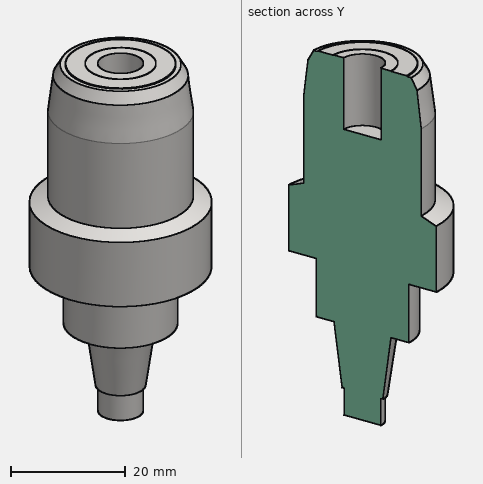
import cadquery as cq

collar_diameter = 31.9
barrel_diameter = 25.45
nose_diameter = 23.6
rim_diameter = 21.1
shank_diameter = 20.05
insert_diameter = 19.35
sleeve_diameter = 12.4
taper_end_diameter = 8.9
pin_diameter = 8.0
bore_diameter = pin_diameter

total_height = 67.7
taper_bottom = 5.1
shank_bottom = 17.1
collar_bottom = 28.15
collar_edge = 40.7
collar_top = 41.85
barrel_top = 58.4
nose_top = 65.4

insert_step = 0.15
sleeve_step = 0.1
insert_chamfer = 0.1
bore_depth = 13.55

sleeve_top = total_height
insert_top = sleeve_top - sleeve_step
rim_top = insert_top - insert_step


def stepped_body():
    """Turned body: pin, taper, shank, collar, barrel and stepped end face."""
    profile = [
        (0, 0),
        (pin_diameter / 2, 0),
        (pin_diameter / 2, taper_bottom),
        (taper_end_diameter / 2, taper_bottom),
        (sleeve_diameter / 2, shank_bottom),
        (shank_diameter / 2, shank_bottom),
        (shank_diameter / 2, collar_bottom),
        (collar_diameter / 2, collar_bottom),
        (collar_diameter / 2, collar_edge),
        (barrel_diameter / 2, collar_top),
        (barrel_diameter / 2, barrel_top),
        (nose_diameter / 2, nose_top),
        (rim_diameter / 2, rim_top),
        (insert_diameter / 2, rim_top),
        (insert_diameter / 2, insert_top - insert_chamfer),
        (insert_diameter / 2 - insert_chamfer, insert_top),
        (sleeve_diameter / 2, insert_top),
        (sleeve_diameter / 2, sleeve_top),
        (0, sleeve_top),
    ]
    return cq.Workplane("XZ").polyline(profile).close().revolve(360, (0, 0, 0), (0, 1, 0))


def blind_bore():
    """Flat-bottomed bore sunk from the top end face."""
    floor = cq.Workplane("XY").workplane(offset=sleeve_top - bore_depth)
    return floor.circle(bore_diameter / 2).extrude(bore_depth)


result = stepped_body().cut(blind_bore())